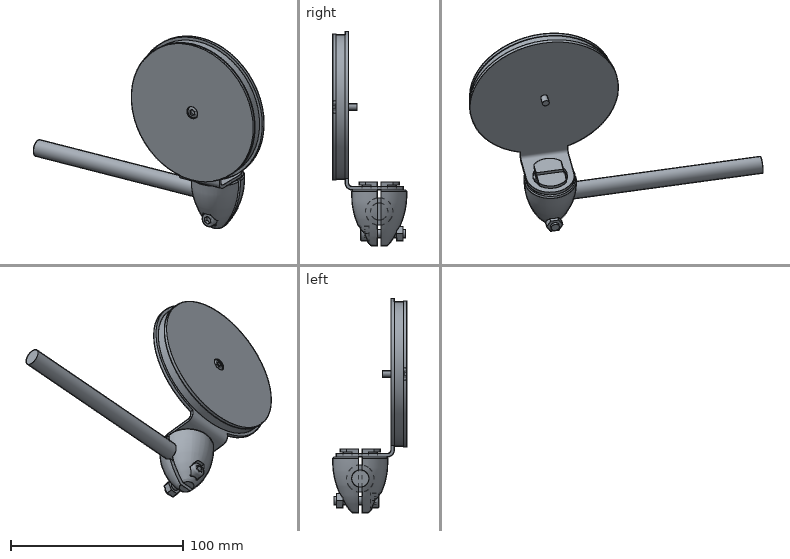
import cadquery as cq
import math


ROD_DIAMETER = 10.0
ROD_START_X = -125.0
ROD_END_X = 5.0
COLLAR_DIAMETER = 15.9
COLLAR_START_X = -5.4
COLLAR_END_X = 4.0

CLAMP_GAP = 2.0
CLAMP_BOTTOM_Z = -20.0
FOOT_RADIUS = 3.5
FOOT_EDGE_RADIUS = 4.7
FOOT_EDGE_Z = -19.0
BELLY_RADIUS = 13.0
BELLY_Z = -3.4
RIM_RADIUS = 15.0
RIM_Z = 11.5
SHOULDER_RADIUS = 14.4
NECK_RADIUS = 9.0
HEAD_RADIUS = 10.6
HEAD_BOTTOM_Z = 15.4
HEAD_TOP_Z = 17.2
HEAD_FLAT_WIDTH = 16.2

BOLT_Z = -12.8
BOLT_DIAMETER = 4.9
BOLT_TIP_Y = 15.4
BOLT_HEAD_DIAMETER = 8.5
BOLT_HEAD_FRONT_Y = -10.8
BOLT_HEAD_ROUNDING = 1.0
BOLT_SOCKET_WIDTH = 4.0
BOLT_SOCKET_DEPTH = 2.5
HEAD_POCKET_WIDTH = 8.8
HEAD_POCKET_FLOOR_Y = -5.9
NUT_WIDTH = 8.3
NUT_INNER_Y = 10.1
NUT_THICKNESS = 3.7

SHEET_THICKNESS = 2.0
TAB_BOTTOM_Z = 12.5
TAB_WIDTH = 28.0
TAB_HOLE_RADIUS = 10.0
BEND_OUTER_RADIUS = 4.0
PLATE_FRONT_Y = -19.8
PLATE_RADIUS = 44.0
PLATE_CENTRE_Z = 60.7

MIRROR_FRONT_Y = -27.0
MIRROR_BODY_RADIUS = 42.0
GLASS_RADIUS = 42.4
GLASS_THICKNESS = 2.0
SCREW_DIAMETER = 4.0
SCREW_TIP_Y = -12.8
SCREW_HEAD_DIAMETER = 7.1
SCREW_HEAD_HEIGHT = 2.0
SCREW_HEAD_TOP_DIAMETER = 4.4
SCREW_POCKET_DIAMETER = 7.5
SCREW_SOCKET_WIDTH = 3.2
SCREW_SOCKET_DEPTH = 1.4

TAB_TOP_Z = TAB_BOTTOM_Z + SHEET_THICKNESS
PLATE_BACK_Y = PLATE_FRONT_Y + SHEET_THICKNESS
SOCKET_TURN = 30
OVERSIZE = 4 * RIM_RADIUS


def cylinder_x(radius, start_x, end_x):
    """Cylinder along X between two X positions, on the rod axis."""
    return cq.Workplane("YZ", origin=(start_x, 0, 0)).circle(radius).extrude(end_x - start_x)


def cylinder_y(radius, start_y, end_y, z):
    """Cylinder along Y between two Y positions, at X = 0."""
    return cq.Workplane("XZ", origin=(0, end_y, z)).circle(radius).extrude(end_y - start_y)


def hexagon_y(width, start_y, end_y, z, turn=0):
    """Hexagonal prism along Y with corners on +X and -X, turned about its axis by an angle."""
    corner_diameter = width / math.cos(math.pi / 6)
    prism = cq.Workplane("XZ", origin=(0, end_y, z)).polygon(6, corner_diameter).extrude(end_y - start_y)
    return prism.rotate((0, 0, z), (0, 1, z), turn)


def make_rod():
    """Straight round rod with its collar."""
    shaft = cylinder_x(ROD_DIAMETER / 2, ROD_START_X, ROD_END_X)
    return shaft.union(cylinder_x(COLLAR_DIAMETER / 2, COLLAR_START_X, COLLAR_END_X))


def make_clamp_half(side):
    """Half shell on the +Y (side = 1) or -Y (side = -1) side of the gap."""
    turned = (
        cq.Workplane("XZ")
        .moveTo(0, CLAMP_BOTTOM_Z)
        .lineTo(FOOT_RADIUS, CLAMP_BOTTOM_Z)
        .lineTo(FOOT_EDGE_RADIUS, FOOT_EDGE_Z)
        .threePointArc((BELLY_RADIUS, BELLY_Z), (RIM_RADIUS, RIM_Z))
        .lineTo(SHOULDER_RADIUS, TAB_BOTTOM_Z)
        .lineTo(NECK_RADIUS, TAB_BOTTOM_Z)
        .lineTo(NECK_RADIUS, HEAD_BOTTOM_Z)
        .lineTo(HEAD_RADIUS, HEAD_BOTTOM_Z)
        .lineTo(HEAD_RADIUS, HEAD_TOP_Z)
        .lineTo(0, HEAD_TOP_Z)
        .close()
        .revolve(360, (0, 0, 0), (0, 1, 0))
    )
    half_space = cq.Workplane("XY").box(OVERSIZE, OVERSIZE, OVERSIZE).translate((0, side * OVERSIZE / 2, 0))
    half = turned.intersect(half_space)
    for direction in (-1, 1):
        flat_cutter = (
            cq.Workplane("XY", origin=(0, 0, TAB_BOTTOM_Z))
            .center(direction * (HEAD_FLAT_WIDTH + OVERSIZE) / 2, 0)
            .rect(OVERSIZE, OVERSIZE)
            .extrude(OVERSIZE)
        )
        half = half.cut(flat_cutter)
    return half.translate((0, side * CLAMP_GAP / 2, 0))


def make_bolt():
    """Socket-head bolt together with its nut."""
    head = (
        cylinder_y(BOLT_HEAD_DIAMETER / 2, BOLT_HEAD_FRONT_Y, HEAD_POCKET_FLOOR_Y, BOLT_Z)
        .faces("<Y")
        .edges()
        .fillet(BOLT_HEAD_ROUNDING)
    )
    socket_floor_y = BOLT_HEAD_FRONT_Y + BOLT_SOCKET_DEPTH
    head = head.cut(hexagon_y(BOLT_SOCKET_WIDTH, BOLT_HEAD_FRONT_Y, socket_floor_y, BOLT_Z, turn=SOCKET_TURN))
    shaft = cylinder_y(BOLT_DIAMETER / 2, HEAD_POCKET_FLOOR_Y, BOLT_TIP_Y, BOLT_Z)
    nut = hexagon_y(NUT_WIDTH, NUT_INNER_Y, NUT_INNER_Y + NUT_THICKNESS, BOLT_Z)
    return head.union(shaft).union(nut)


def make_clamp(rod):
    """Both half shells, joined by the bolt, with a seat for the rod."""
    shells = make_clamp_half(1).union(make_clamp_half(-1))
    shells = shells.cut(rod)
    shells = shells.cut(hexagon_y(HEAD_POCKET_WIDTH, -OVERSIZE, HEAD_POCKET_FLOOR_Y, BOLT_Z))
    return shells.union(make_bolt())


def make_bracket():
    """Tab around the clamp neck, a bend, and the round plate."""
    bend_centre_y = PLATE_FRONT_Y + BEND_OUTER_RADIUS
    bend_centre_z = TAB_BOTTOM_Z + BEND_OUTER_RADIUS
    bend_inner_radius = BEND_OUTER_RADIUS - SHEET_THICKNESS
    diagonal = math.sqrt(0.5)
    strip = (
        cq.Workplane("YZ", origin=(-TAB_WIDTH / 2, 0, 0))
        .moveTo(0, TAB_BOTTOM_Z)
        .lineTo(bend_centre_y, TAB_BOTTOM_Z)
        .threePointArc(
            (bend_centre_y - BEND_OUTER_RADIUS * diagonal, bend_centre_z - BEND_OUTER_RADIUS * diagonal),
            (PLATE_FRONT_Y, bend_centre_z),
        )
        .lineTo(PLATE_FRONT_Y, PLATE_CENTRE_Z)
        .lineTo(PLATE_BACK_Y, PLATE_CENTRE_Z)
        .lineTo(PLATE_BACK_Y, bend_centre_z)
        .threePointArc(
            (bend_centre_y - bend_inner_radius * diagonal, bend_centre_z - bend_inner_radius * diagonal),
            (bend_centre_y, TAB_TOP_Z),
        )
        .lineTo(0, TAB_TOP_Z)
        .close()
        .extrude(TAB_WIDTH)
    )
    tab_plane = cq.Workplane("XY", origin=(0, 0, TAB_BOTTOM_Z))
    tab_end = tab_plane.circle(TAB_WIDTH / 2).extrude(SHEET_THICKNESS)
    tab_hole = tab_plane.circle(TAB_HOLE_RADIUS).extrude(SHEET_THICKNESS)
    plate = cylinder_y(PLATE_RADIUS, PLATE_FRONT_Y, PLATE_BACK_Y, PLATE_CENTRE_Z)
    return strip.union(tab_end).cut(tab_hole).union(plate)


def make_mirror():
    """Mirror disc with its central button-head screw sunk flush with the glass."""
    glass_back_y = MIRROR_FRONT_Y + GLASS_THICKNESS
    pocket_floor_y = MIRROR_FRONT_Y + SCREW_HEAD_HEIGHT
    body = cylinder_y(MIRROR_BODY_RADIUS, glass_back_y, PLATE_FRONT_Y, PLATE_CENTRE_Z)
    glass = cylinder_y(GLASS_RADIUS, MIRROR_FRONT_Y, glass_back_y, PLATE_CENTRE_Z)
    pocket = cylinder_y(SCREW_POCKET_DIAMETER / 2, MIRROR_FRONT_Y, pocket_floor_y, PLATE_CENTRE_Z)
    screw_head = (
        cylinder_y(SCREW_HEAD_DIAMETER / 2, MIRROR_FRONT_Y, pocket_floor_y, PLATE_CENTRE_Z)
        .faces("<Y")
        .edges()
        .fillet((SCREW_HEAD_DIAMETER - SCREW_HEAD_TOP_DIAMETER) / 2)
    )
    socket_floor_y = MIRROR_FRONT_Y + SCREW_SOCKET_DEPTH
    socket = hexagon_y(SCREW_SOCKET_WIDTH, MIRROR_FRONT_Y, socket_floor_y, PLATE_CENTRE_Z, turn=SOCKET_TURN)
    stud = cylinder_y(SCREW_DIAMETER / 2, PLATE_BACK_Y, SCREW_TIP_Y, PLATE_CENTRE_Z)
    return body.union(glass).cut(pocket).union(screw_head).cut(socket).union(stud)


rod = make_rod()
clamp = make_clamp(rod)
mirror_holder = make_bracket().union(make_mirror())

result = cq.Compound.makeCompound([rod.val(), clamp.val(), mirror_holder.val()])